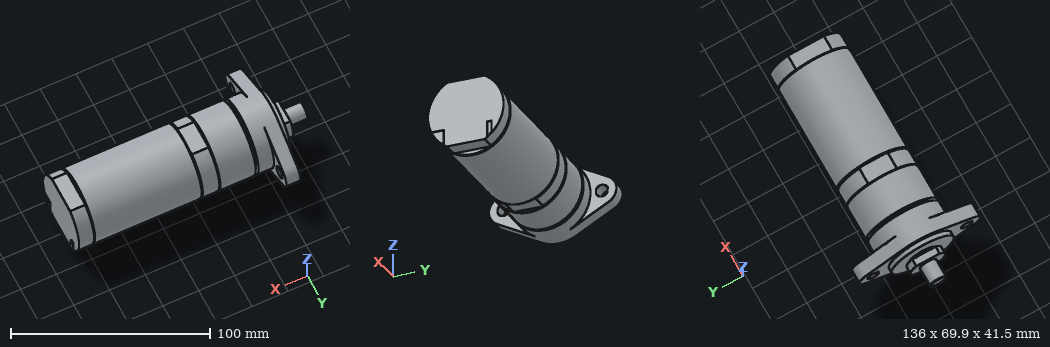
import cadquery as cq
import math

SHAFT_TIP = 0.0
NUT_FRONT = 10.7
NUT_BACK = 15.0
PILOT_FRONT = 16.0
FLANGE_FRONT = 18.9
FLANGE_BACK = 26.8
GROOVE_FRONT = 35.4
GROOVE_BACK = 37.0
COLLAR_FRONT = 57.1
COLLAR_BACK = 66.5
HOUSING_FRONT = 66.8
CAP_FRONT = 127.0
CAP_BACK = 135.6
OVERALL_LENGTH = 136.0

BODY_DIAMETER = 41.5
PILOT_DIAMETER = 36.0
SHAFT_DIAMETER = 9.5
NUT_DIAMETER = 20.1
NECK_DIAMETER = 15.6
EDGE_CHAMFER = 0.4
SHAFT_CHAMFER = 0.3

NUT_FLATS = 15.0
COLLAR_FLATS = 38.1
CAP_FLATS = 35.9

LOBE_DIAMETER = 16.0
BOLT_HOLE_DIAMETER = 6.5
FLANGE_WIDTH = 69.9
BOLT_OFFSET = (FLANGE_WIDTH - LOBE_DIAMETER) / 2

REAR_PADS = [(13.0, 2.5), (-15.1, 6.5)]
PAD_HEIGHT = 8.2
PAD_CENTRE_Z = -12.6


def cylinder(x_start, x_end, diameter):
    """Solid cylinder on the motor axis between two stations."""
    return cq.Workplane("YZ", origin=(x_start, 0, 0)).circle(diameter / 2).extrude(x_end - x_start)


def flatted_cylinder(x_start, x_end, diameter, across_flats):
    """Cylinder trimmed by two parallel flats facing +Z and -Z."""
    slab = (
        cq.Workplane("YZ", origin=(x_start, 0, 0))
        .rect(2 * diameter, across_flats)
        .extrude(x_end - x_start)
    )
    return cylinder(x_start, x_end, diameter).intersect(slab)


def mounting_flange():
    """Body circle joined to two end lobes by tangent lines, with a bolt hole in each lobe."""
    body_radius = BODY_DIAMETER / 2
    lobe_radius = LOBE_DIAMETER / 2
    normal_y = (body_radius - lobe_radius) / BOLT_OFFSET
    normal_z = math.sqrt(1 - normal_y**2)
    body_y, body_z = body_radius * normal_y, body_radius * normal_z
    lobe_y, lobe_z = BOLT_OFFSET + lobe_radius * normal_y, lobe_radius * normal_z
    outline = (
        cq.Workplane("YZ", origin=(FLANGE_FRONT, 0, 0))
        .moveTo(-body_y, body_z)
        .threePointArc((0, body_radius), (body_y, body_z))
        .lineTo(lobe_y, lobe_z)
        .threePointArc((FLANGE_WIDTH / 2, 0), (lobe_y, -lobe_z))
        .lineTo(body_y, -body_z)
        .threePointArc((0, -body_radius), (-body_y, -body_z))
        .lineTo(-lobe_y, -lobe_z)
        .threePointArc((-FLANGE_WIDTH / 2, 0), (-lobe_y, lobe_z))
        .close()
    )
    plate = outline.extrude(FLANGE_BACK - FLANGE_FRONT)
    holes = (
        cq.Workplane("YZ", origin=(FLANGE_FRONT, 0, 0))
        .pushPoints([(-BOLT_OFFSET, 0), (BOLT_OFFSET, 0)])
        .circle(BOLT_HOLE_DIAMETER / 2)
        .extrude(FLANGE_BACK - FLANGE_FRONT)
    )
    return plate.cut(holes)


def rear_pads():
    """Thin raised pads on the rear face of the end cap, trimmed to its outline."""
    pads = cq.Workplane("YZ", origin=(CAP_BACK, 0, 0))
    for centre_y, width in REAR_PADS:
        pads = pads.moveTo(centre_y, PAD_CENTRE_Z).rect(width, PAD_HEIGHT)
    outline = flatted_cylinder(CAP_BACK, OVERALL_LENGTH, BODY_DIAMETER, CAP_FLATS)
    return pads.extrude(OVERALL_LENGTH - CAP_BACK).intersect(outline)


shaft = cylinder(SHAFT_TIP, PILOT_FRONT, SHAFT_DIAMETER).faces("<X").chamfer(SHAFT_CHAMFER)
nut = flatted_cylinder(NUT_FRONT, NUT_BACK, NUT_DIAMETER, NUT_FLATS)
neck = cylinder(NUT_BACK, PILOT_FRONT, NECK_DIAMETER)

pilot = cylinder(PILOT_FRONT, GROOVE_BACK, PILOT_DIAMETER)
front_body = cylinder(FLANGE_FRONT, GROOVE_FRONT, BODY_DIAMETER)
middle_body = cylinder(GROOVE_BACK, COLLAR_FRONT, BODY_DIAMETER).faces(">X").chamfer(EDGE_CHAMFER)

collar = flatted_cylinder(COLLAR_FRONT, COLLAR_BACK, BODY_DIAMETER, COLLAR_FLATS)
gap = flatted_cylinder(COLLAR_BACK, HOUSING_FRONT, BODY_DIAMETER - 2 * EDGE_CHAMFER, COLLAR_FLATS)
housing = cylinder(HOUSING_FRONT, CAP_FRONT, BODY_DIAMETER).faces("<X or >X").chamfer(EDGE_CHAMFER)
cap = flatted_cylinder(CAP_FRONT, CAP_BACK, BODY_DIAMETER, CAP_FLATS)

result = shaft
for section in (
    nut, neck, pilot, mounting_flange(), front_body, middle_body,
    collar, gap, housing, cap, rear_pads(),
):
    result = result.union(section)